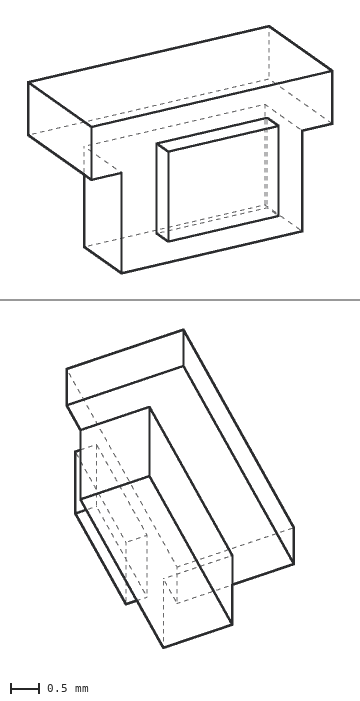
import cadquery as cq

cap_depth = 2.2
cap_width = 4.8
cap_height = 1.0

stem_depth = 1.3
stem_width = 3.6
stem_height = 1.9

pad_thickness = 0.4
pad_width = 2.2
pad_end_margin = 0.6

body_height = stem_height + cap_height
pad_height = body_height - 2 * pad_end_margin


def block(x_start, z_start, depth, width, height):
    """Box starting at the given X and Z, centred on the Y = 0 plane."""
    return (
        cq.Workplane("XY")
        .box(depth, width, height, centered=(False, True, False))
        .translate((x_start, 0, z_start))
    )


cap = block(-cap_depth, stem_height, cap_depth, cap_width, cap_height)
stem = block(-stem_depth, 0, stem_depth, stem_width, stem_height)
pad = block(0, pad_end_margin, pad_thickness, pad_width, pad_height)

result = cap.union(stem).union(pad)